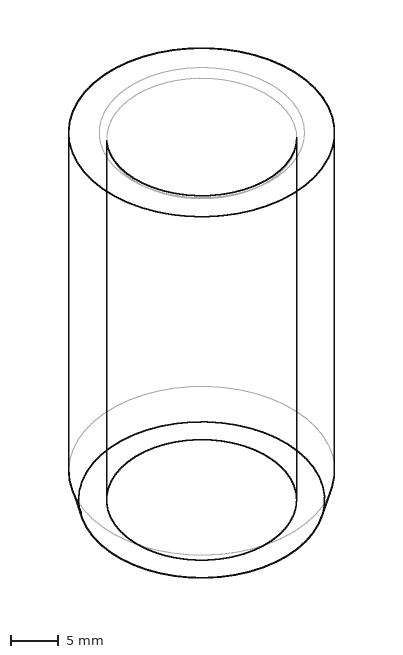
import cadquery as cq

length = 50.0
outer_diameter = 28.0
bore_diameter = 20.0
mouth_radius = 0.8
lead_in_height = 4.0
lead_in_inset = 1.05

body = (
    cq.Workplane("XY")
    .circle(outer_diameter / 2)
    .extrude(length)
    .faces("<Z")
    .chamfer(lead_in_height, lead_in_inset)
)

sleeve = body.faces(">Z").workplane().hole(bore_diameter)

result = sleeve.faces(">Z").edges(cq.selectors.RadiusNthSelector(0)).fillet(mouth_radius)